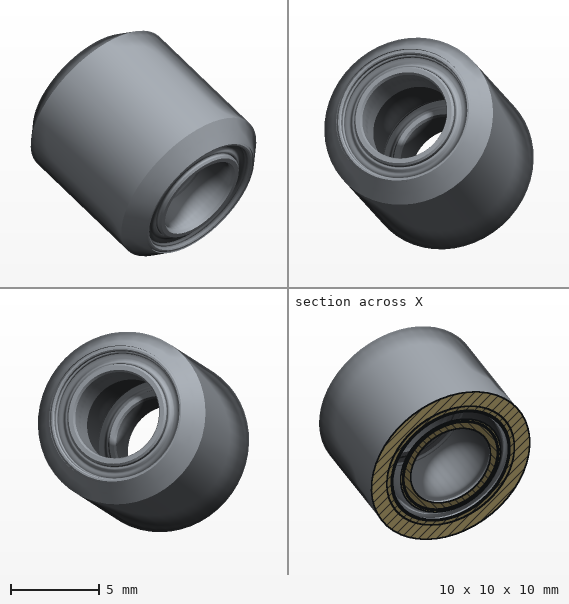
import cadquery as cq
import math


LENGTH = 10.0
SLEEVE_RADIUS = LENGTH / 2
SLEEVE_CHAMFER = 1.0
SHOULDER_RADIUS = 3.5

BEARING_WIDTH = 2.5
BEARING_RADIUS = SLEEVE_RADIUS - SLEEVE_CHAMFER
OUTER_RING_CHAMFER = 0.12
OUTER_RING_INNER_RADIUS = 3.72
OUTER_RING_INNER_CHAMFER = 0.06
INNER_RING_RADIUS = 2.96
INNER_RING_CHAMFER = 0.11
BORE_RADIUS = 2.5
BORE_CHAMFER = 0.09
BORE_CHAMFER_LENGTH = 0.17

SHIELD_RECESS = 0.28
RIM_RADIUS = 3.62
RIM_ROUND = 0.09
WEB_INNER_RADIUS = 3.35
BEND_RADIUS = 0.15
BEND_ANGLE = math.radians(45)
LIP_CONE_SPAN = 0.09
LIP_GAP = 0.05
LIP_GAP_DEPTH = 0.1

HALF_LENGTH = LENGTH / 2
HALF_WIDTH = BEARING_WIDTH / 2
BEARING_CENTRE = HALF_LENGTH - HALF_WIDTH


def revolve_about_x(profile):
    """Close a profile drawn in axial and radial coordinates and turn it about the X axis."""
    return profile.close().revolve(360, (0, 0, 0), (1, 0, 0))


def make_sleeve():
    """Sleeve with an end chamfer and a bearing seat at each end, and a shoulder between the seats."""
    chamfer_start = HALF_LENGTH - SLEEVE_CHAMFER
    seat_floor = HALF_LENGTH - BEARING_WIDTH
    return revolve_about_x(
        cq.Workplane("XZ")
        .moveTo(-HALF_LENGTH, BEARING_RADIUS)
        .lineTo(-chamfer_start, SLEEVE_RADIUS)
        .lineTo(chamfer_start, SLEEVE_RADIUS)
        .lineTo(HALF_LENGTH, BEARING_RADIUS)
        .lineTo(seat_floor, BEARING_RADIUS)
        .lineTo(seat_floor, SHOULDER_RADIUS)
        .lineTo(-seat_floor, SHOULDER_RADIUS)
        .lineTo(-seat_floor, BEARING_RADIUS)
    )


def make_ring(inner_radius, inner_chamfer, inner_chamfer_length, outer_radius, outer_chamfer):
    """Bearing ring centred on the origin, chamfered on all four circular edges."""
    face_inner_radius = inner_radius + inner_chamfer
    face_outer_radius = outer_radius - outer_chamfer
    inner_end = HALF_WIDTH - inner_chamfer_length
    outer_end = HALF_WIDTH - outer_chamfer
    return revolve_about_x(
        cq.Workplane("XZ")
        .moveTo(-HALF_WIDTH, face_inner_radius)
        .lineTo(-HALF_WIDTH, face_outer_radius)
        .lineTo(-outer_end, outer_radius)
        .lineTo(outer_end, outer_radius)
        .lineTo(HALF_WIDTH, face_outer_radius)
        .lineTo(HALF_WIDTH, face_inner_radius)
        .lineTo(inner_end, inner_radius)
        .lineTo(-inner_end, inner_radius)
    )


def make_outer_ring():
    return make_ring(
        OUTER_RING_INNER_RADIUS,
        OUTER_RING_INNER_CHAMFER,
        OUTER_RING_INNER_CHAMFER,
        BEARING_RADIUS,
        OUTER_RING_CHAMFER,
    )


def make_inner_ring():
    return make_ring(
        BORE_RADIUS,
        BORE_CHAMFER,
        BORE_CHAMFER_LENGTH,
        INNER_RING_RADIUS,
        INNER_RING_CHAMFER,
    )


def make_shield():
    """Shield filling the space between the rings, with the same relief on both faces."""
    bend_span = BEND_RADIUS * math.sin(BEND_ANGLE)
    bend_rise = BEND_RADIUS * (1 - math.cos(BEND_ANGLE))
    cone_rise = LIP_CONE_SPAN * math.tan(BEND_ANGLE)

    raised_x = SHIELD_RECESS - HALF_WIDTH
    cone_top_x = raised_x + bend_rise
    cone_foot_x = cone_top_x + cone_rise
    web_x = cone_foot_x + bend_rise

    cone_foot_radius = WEB_INNER_RADIUS - bend_span
    cone_top_radius = cone_foot_radius - LIP_CONE_SPAN
    lip_outer_radius = cone_top_radius - bend_span
    lip_inner_radius = INNER_RING_RADIUS + LIP_GAP

    half = revolve_about_x(
        cq.Workplane("XZ")
        .moveTo(0, INNER_RING_RADIUS)
        .lineTo(raised_x + LIP_GAP_DEPTH, INNER_RING_RADIUS)
        .lineTo(raised_x + LIP_GAP_DEPTH, lip_inner_radius)
        .lineTo(raised_x, lip_inner_radius)
        .lineTo(raised_x, lip_outer_radius)
        .radiusArc((cone_top_x, cone_top_radius), BEND_RADIUS)
        .lineTo(cone_foot_x, cone_foot_radius)
        .radiusArc((web_x, WEB_INNER_RADIUS), -BEND_RADIUS)
        .lineTo(web_x, RIM_RADIUS)
        .lineTo(raised_x + RIM_ROUND, RIM_RADIUS)
        .radiusArc((raised_x, RIM_RADIUS + RIM_ROUND), RIM_ROUND)
        .lineTo(raised_x, OUTER_RING_INNER_RADIUS)
        .lineTo(0, OUTER_RING_INNER_RADIUS)
    )
    return half.union(half.mirror("YZ")).solids()


sleeve = make_sleeve()
outer_ring = make_outer_ring()
inner_ring = make_inner_ring()
shield = make_shield()

bodies = [sleeve.val()]
for bearing_x in (-BEARING_CENTRE, BEARING_CENTRE):
    for part in (outer_ring, inner_ring, shield):
        bodies.append(part.translate((bearing_x, 0, 0)).val())

result = cq.Compound.makeCompound(bodies)